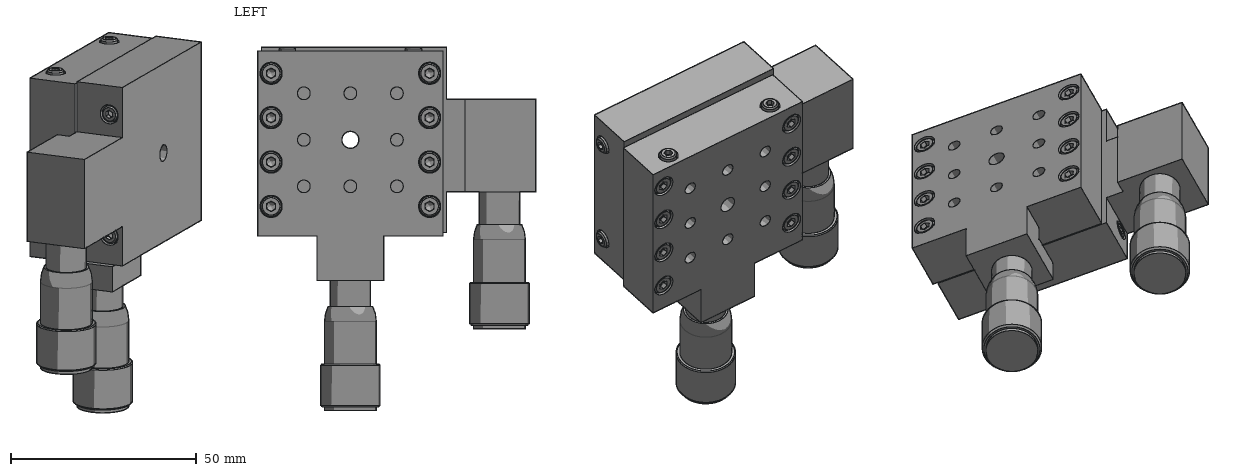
import cadquery as cq
import math


plate_side = 50.0
plate_thick = 13.5
plate_gap = 1.0
travel_offset = 1.0
slide_side = 31.85
back_face_x = plate_thick + plate_gap
stage_depth = 2 * plate_thick + plate_gap

center_hole_dia = 4.5
ring_hole_dia = 3.4
ring_hole_pitch = 12.5

arm_thick = 17.1
arm_step = 4.9
front_arm_width = 18.0
front_arm_length = 12.0
front_neck_thick = 7.9
back_arm_length = 24.0
back_arm_height = 25.0
back_arm_bottom = -14.0
axis_from_face = 10.0
back_axis_from_end = 9.8
spindle_dia = 4.5

sleeve_dia = 11.0
taper_dia = 12.1
barrel_dia = 14.0
thimble_dia = 16.1
rim_height = 1.0
thimble_bottom = 1.5
thimble_top = 12.5
barrel_top = 24.1
taper_top = 28.1
thimble_top_chamfer = 0.3
front_head_bottom = -73.0
back_head_bottom = -51.0

face_screw = (6.0, 5.5, 0.4, 2.45)
edge_screw = (5.3, 4.5, 0.4, 2.0)
screw_bore_depth = 2.9
socket_depth = 1.5
drill_point_angle = 118
face_screw_recess = 0.2
edge_screw_rise = 0.9
face_screw_pitch = 12.0
face_screw_count = 4
face_screw_y = 21.4
edge_screw_spacing = 34.0
edge_screw_inset = 3.9


def box(x_range, y_range, z_range):
    """Box spanning the given (low, high) ranges."""
    spans = [high - low for low, high in (x_range, y_range, z_range)]
    corner = (x_range[0], y_range[0], z_range[0])
    return cq.Workplane("XY").box(*spans, centered=False).translate(corner)


def centered(size, middle=0.0):
    """Range of the given size around a middle."""
    return (middle - size / 2, middle + size / 2)


def micrometer(x, y, bottom, arm_bottom):
    """Vertical micrometer head hanging below an arm, with its lower end at bottom."""
    taper_rise = taper_top - barrel_top
    taper_inset = (barrel_dia - taper_dia) / 2
    taper_radius = (taper_rise ** 2 + taper_inset ** 2) / (2 * taper_inset)
    rim_chamfer = thimble_bottom - rim_height
    thimble_radius = thimble_dia / 2
    profile = (
        cq.Workplane("XZ")
        .lineTo(barrel_dia / 2, 0)
        .lineTo(barrel_dia / 2, rim_height)
        .lineTo(thimble_radius - rim_chamfer, rim_height)
        .lineTo(thimble_radius, thimble_bottom)
        .lineTo(thimble_radius, thimble_top - thimble_top_chamfer)
        .lineTo(thimble_radius - thimble_top_chamfer, thimble_top)
        .lineTo(barrel_dia / 2, thimble_top)
        .lineTo(barrel_dia / 2, barrel_top)
        .radiusArc((taper_dia / 2, taper_top), -taper_radius)
        .lineTo(sleeve_dia / 2, taper_top)
        .lineTo(sleeve_dia / 2, arm_bottom - bottom)
        .lineTo(0, arm_bottom - bottom)
        .close()
    )
    return profile.revolve(360, (0, 0), (0, 1)).translate((x, y, bottom))


def add_screw(body, screw, position, normal, rise):
    """Cap screw in a counterbore; its head top stands the given rise above the surface."""
    bore_dia, head_dia, head_chamfer, socket_width = screw
    surface = cq.Workplane(cq.Plane(position, normal=normal))
    bore = surface.circle(bore_dia / 2).extrude(-screw_bore_depth)
    head = (
        surface.workplane(offset=-screw_bore_depth)
        .circle(head_dia / 2)
        .extrude(screw_bore_depth + rise)
        .faces(cq.selectors.DirectionMinMaxSelector(cq.Vector(*normal)))
        .chamfer(head_chamfer)
    )
    across_corners = socket_width / math.cos(math.pi / 6)
    socket = surface.workplane(offset=rise).polygon(6, across_corners).extrude(-socket_depth)
    point_radius = socket_width / 2
    point_depth = point_radius / math.tan(math.radians(drill_point_angle / 2))
    point = cq.Solid.makeCone(
        point_radius,
        0,
        point_depth,
        pnt=cq.Vector(*position) + cq.Vector(*normal) * (rise - socket_depth),
        dir=cq.Vector(*normal) * -1,
    )
    return body.cut(bore).union(head.cut(socket).cut(point))


front_z = centered(plate_side, -travel_offset)
back_y = centered(plate_side, -travel_offset)
front_plate = box((0, plate_thick), centered(plate_side), front_z)
slide = box((plate_thick, back_face_x), centered(slide_side), centered(slide_side))
back_plate = box((back_face_x, stage_depth), back_y, centered(plate_side))

front_arm_bottom = front_z[0] - front_arm_length
front_step_z = front_z[0] - arm_step
front_neck = box((0, front_neck_thick), centered(front_arm_width), (front_step_z, front_z[0]))
front_block = box((0, arm_thick), centered(front_arm_width), (front_arm_bottom, front_step_z))
spindle = (
    cq.Workplane("XY", origin=(axis_from_face, 0, front_step_z))
    .circle(spindle_dia / 2)
    .extrude(arm_step)
)

back_arm_end = back_y[0] - back_arm_length
back_step_y = back_y[0] - arm_step
back_arm_z = (back_arm_bottom, back_arm_bottom + back_arm_height)
back_neck = box((back_face_x, stage_depth), (back_step_y, back_y[0]), back_arm_z)
back_block = box((stage_depth - arm_thick, stage_depth), (back_arm_end, back_step_y), back_arm_z)

front_head = micrometer(axis_from_face, 0, front_head_bottom, front_arm_bottom)
back_head = micrometer(
    stage_depth - axis_from_face, back_arm_end + back_axis_from_end, back_head_bottom, back_arm_bottom
)

result = front_plate.union(slide).union(back_plate)
for piece in (front_neck, front_block, spindle, back_neck, back_block, front_head, back_head):
    result = result.union(piece)

front_face = cq.Workplane("YZ")
result = result.cut(front_face.circle(center_hole_dia / 2).extrude(stage_depth))
ring_points = [
    (column * ring_hole_pitch, row * ring_hole_pitch)
    for column in (-1, 0, 1)
    for row in (-1, 0, 1)
    if (column, row) != (0, 0)
]
result = result.cut(front_face.pushPoints(ring_points).circle(ring_hole_dia / 2).extrude(plate_thick))

for index in range(face_screw_count):
    screw_z = (index - (face_screw_count - 1) / 2) * face_screw_pitch
    for screw_y in (-face_screw_y, face_screw_y):
        result = add_screw(result, face_screw, (0, screw_y, screw_z), (-1, 0, 0), -face_screw_recess)

back_screw_x = stage_depth - edge_screw_inset
for along in centered(edge_screw_spacing):
    result = add_screw(result, edge_screw, (edge_screw_inset, along, front_z[1]), (0, 0, 1), edge_screw_rise)
    result = add_screw(result, edge_screw, (back_screw_x, back_y[0], along), (0, -1, 0), 0)
    result = add_screw(result, edge_screw, (back_screw_x, back_y[1], along), (0, 1, 0), edge_screw_rise)